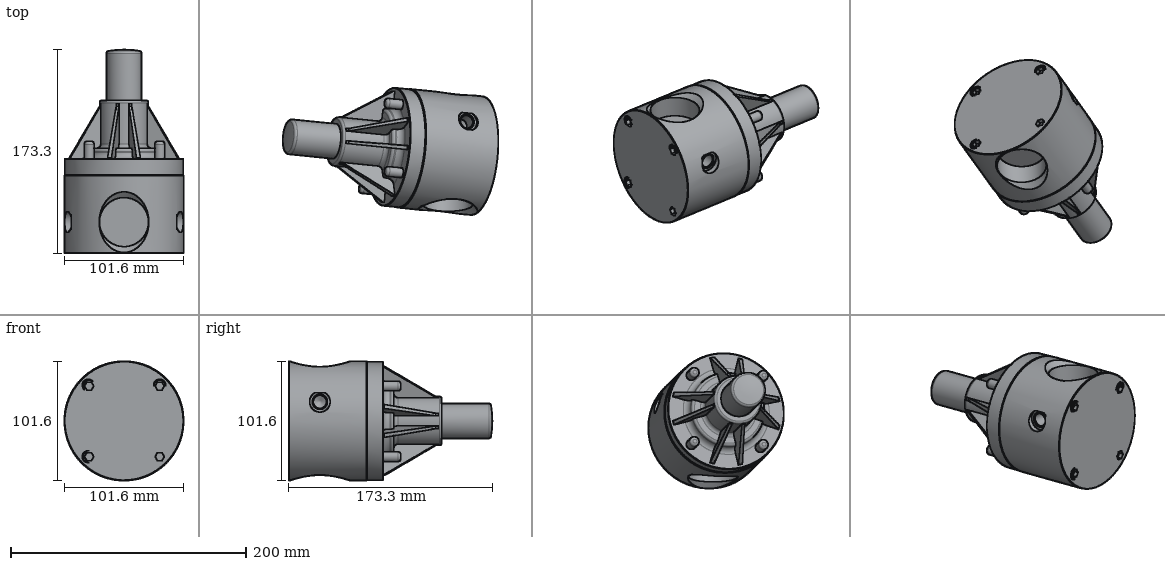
import math

import cadquery as cq

overall_length = 173.33

body_dia = 101.6
body_length = 66.5
cover_dia = 101.0
cover_end = 80.5
edge_chamfer = 0.5

hub_dia = 64.0
hub_end = 89.5
hub_round = 2.5
hub_foot_fillet = 5.4
barrel_dia = 41.66
barrel_flare = 3.5
barrel_end = 130.1
barrel_round = 2.0

shaft_dia = 29.97
crown_height = 1.5
shaft_round = 2.3

rib_angle = 15.0
rib_inner_thickness = 2.4
rib_outer_thickness = 3.5
rib_outer_radius = 47.5
rib_top_radius = 21.2
rib_root_radius = 15.0
rib_land_start = 125.0
rib_land_end = 127.3
rib_foot_height = 1.0

counterbore_spacing = 60.7
counterbore_dia = 10.16
counterbore_depth = 6.0
screw_spacing = 60.0
screw_shift = (counterbore_spacing - screw_spacing) / 2
head_dia = counterbore_dia
screw_dia = 8.38
screw_end = 95.4
screw_round = 2.5
socket_flats = 6.8
socket_depth = 4.0

port_y = 26.6
port_dia = 41.66
port_floor = 27.8
port_flare_dia = 51.5

side_port_z = 16.26
side_port_dia = 11.12
side_port_mouth_dia = 12.9
side_port_floor = 30.0
spotface_dia = 17.5
spotface_floor = 44.9
drill_tip_angle = 118.0


def along_y(profile):
    """Revolve a closed (radius, y) profile about the part's axis."""
    return profile.close().revolve(360, (0, 0, 0), (0, 1, 0))


def drum(diameter, start, end):
    """Plain cylinder on the part's axis."""
    return cq.Workplane("XZ", origin=(0, start, 0)).circle(diameter / 2).extrude(start - end)


def make_housing():
    housing = drum(body_dia, 0, body_length).edges().chamfer(edge_chamfer)
    cover = drum(cover_dia, body_length, cover_end).edges().chamfer(edge_chamfer)
    return housing.union(cover)


def arc_midpoint(center_radius, center_y, arc_radius, radial_side, y_side):
    """Middle of a quarter arc that lies on the given sides of its center."""
    reach = arc_radius * math.sqrt(0.5)
    return (center_radius + radial_side * reach, center_y + y_side * reach)


def make_hub():
    hub_radius = hub_dia / 2
    barrel_radius = barrel_dia / 2
    foot_center = (hub_radius + hub_foot_fillet, cover_end + hub_foot_fillet)
    round_center = (hub_radius - hub_round, hub_end - hub_round)
    flare_center = (barrel_radius + barrel_flare, hub_end + barrel_flare)
    end_center = (barrel_radius - barrel_round, barrel_end - barrel_round)
    profile = (
        cq.Workplane("XY")
        .moveTo(0, body_length)
        .lineTo(foot_center[0], body_length)
        .lineTo(foot_center[0], cover_end)
        .threePointArc(
            arc_midpoint(*foot_center, hub_foot_fillet, -1, -1), (hub_radius, foot_center[1])
        )
        .lineTo(hub_radius, round_center[1])
        .threePointArc(arc_midpoint(*round_center, hub_round, 1, 1), (round_center[0], hub_end))
        .lineTo(flare_center[0], hub_end)
        .threePointArc(
            arc_midpoint(*flare_center, barrel_flare, -1, -1), (barrel_radius, flare_center[1])
        )
        .lineTo(barrel_radius, end_center[1])
        .threePointArc(arc_midpoint(*end_center, barrel_round, 1, 1), (end_center[0], barrel_end))
        .lineTo(0, barrel_end)
    )
    return along_y(profile)


def make_shaft():
    radius = shaft_dia / 2
    shoulder = overall_length - crown_height
    crown_radius = (radius**2 + crown_height**2) / (2 * crown_height)
    mid_drop = crown_radius - math.sqrt(crown_radius**2 - (radius / 2) ** 2)
    profile = (
        cq.Workplane("XY")
        .moveTo(0, cover_end)
        .lineTo(radius, cover_end)
        .lineTo(radius, shoulder)
        .threePointArc((radius / 2, overall_length - mid_drop), (0, overall_length))
    )
    return along_y(profile).faces(">Y").edges().fillet(shaft_round)


def make_rib():
    """One rib lying along +X, before it is turned into place."""
    side = (
        cq.Workplane("XY")
        .moveTo(rib_root_radius, cover_end - edge_chamfer)
        .lineTo(rib_outer_radius, cover_end - edge_chamfer)
        .lineTo(rib_outer_radius, cover_end + rib_foot_height)
        .lineTo(rib_top_radius, rib_land_start)
        .lineTo(rib_top_radius, rib_land_end)
        .lineTo(rib_root_radius, rib_land_end)
        .close()
        .extrude(rib_outer_thickness, both=True)
    )
    growth = (rib_outer_thickness - rib_inner_thickness) / (rib_outer_radius - rib_top_radius)
    root_half = (rib_inner_thickness - growth * (rib_top_radius - rib_root_radius)) / 2
    outer_half = rib_outer_thickness / 2
    wedge = (
        cq.Workplane("XZ")
        .polyline(
            [
                (rib_root_radius, -root_half),
                (rib_outer_radius, -outer_half),
                (rib_outer_radius, outer_half),
                (rib_root_radius, root_half),
            ]
        )
        .close()
        .extrude(-overall_length)
    )
    return side.intersect(wedge)


def add_ribs(part):
    rib = make_rib()
    for axis_angle in range(0, 360, 90):
        for offset in (-rib_angle, rib_angle):
            part = part.union(rib.rotate((0, 0, 0), (0, 1, 0), axis_angle + offset))
    return part


def make_screw():
    """One screw on the part's axis, with a hexagon socket in its head."""
    head = drum(head_dia, 0, counterbore_depth)
    shank = drum(screw_dia, 0, screw_end).faces(">Y").edges().fillet(screw_round)
    socket_corner_dia = socket_flats / math.cos(math.pi / 6)
    socket = cq.Workplane("XZ").polygon(6, socket_corner_dia).extrude(-socket_depth)
    return head.union(shank).cut(socket)


def add_screws(part):
    counterbore = drum(counterbore_dia, 0, counterbore_depth)
    screw = make_screw()
    for side_x in (-1, 1):
        for side_z in (-1, 1):
            seat_x = side_x * counterbore_spacing / 2
            seat_z = side_z * counterbore_spacing / 2
            screw_x = side_x * screw_spacing / 2 + screw_shift
            screw_z = side_z * screw_spacing / 2 - screw_shift
            part = part.cut(counterbore.translate((seat_x, 0, seat_z)))
            part = part.union(screw.translate((screw_x, 0, screw_z)))
    return part


def cut_main_ports(part):
    """Blind bores opened by a 45 degree flare that reaches full size at the drum's crest."""
    top = body_dia / 2
    flare_depth = (port_flare_dia - port_dia) / 2
    profile = (
        cq.Workplane("XZ")
        .moveTo(0, port_floor)
        .lineTo(port_dia / 2, port_floor)
        .lineTo(port_dia / 2, top - flare_depth)
        .lineTo(port_flare_dia / 2, top)
        .lineTo(0, top)
        .close()
    )
    port = profile.revolve(360, (0, 0, 0), (0, 1, 0)).translate((0, port_y, 0))
    return part.cut(port).cut(port.mirror("XY"))


def cut_side_ports(part):
    bore_radius = side_port_dia / 2
    mouth_radius = side_port_mouth_dia / 2
    tip_length = bore_radius / math.tan(math.radians(drill_tip_angle / 2))
    profile = (
        cq.Workplane("XZ")
        .moveTo(side_port_floor - tip_length, 0)
        .lineTo(side_port_floor, bore_radius)
        .lineTo(spotface_floor - (mouth_radius - bore_radius), bore_radius)
        .lineTo(spotface_floor, mouth_radius)
        .lineTo(spotface_floor, spotface_dia / 2)
        .lineTo(body_dia / 2, spotface_dia / 2)
        .lineTo(body_dia / 2, 0)
        .close()
    )
    port = profile.revolve(360, (0, 0, 0), (1, 0, 0)).translate((0, port_y, side_port_z))
    return part.cut(port).cut(port.mirror("YZ"))


result = make_housing().union(make_hub()).union(make_shaft())
result = add_ribs(result)
result = add_screws(result)
result = cut_main_ports(result)
result = cut_side_ports(result)